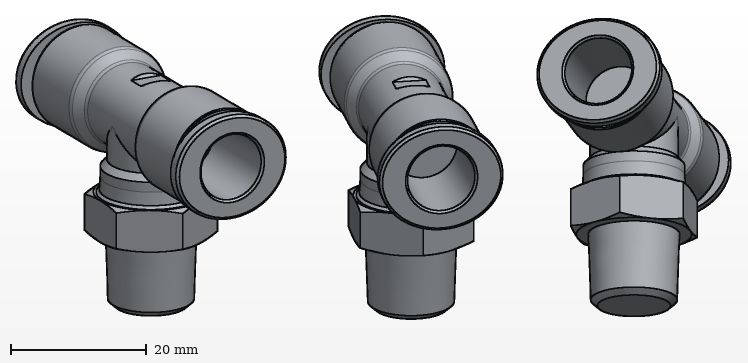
import cadquery as cq
import math


half_length = 25.0
barrel_radius = 8.15
barrel_end = 21.8
barrel_end_chamfer = 0.2
waist_radius = 6.5
shoulder_outer = 10.0
shoulder_inner = 8.0
shoulder_fillet = 1.0

collar_width = 18.5
collar_height = 16.1
collar_thickness = 2.0
collar_chamfer = 0.4
neck_radius = 5.85

bore_radius = 5.05
bore_mouth_chamfer = 0.35
bore_depth = 15.0

notch_depth = 0.5
notch_floor_length = 2.95

overall_height = 36.95
stem_bottom = barrel_radius - overall_height
socket_cone_top = -6.2
socket_top = -7.25
socket_radius = 7.5
skirt_top = -8.75
skirt_bottom = -10.85
skirt_radius = 7.65
foot_radius = 8.1
hex_top = -11.3
hex_bottom = -17.8
hex_flats = 17.0
hex_corner_drop = 0.45
thread_top_radius = 6.75
thread_bottom_radius = 6.4
tip_radius = 5.4
tip_height = 0.9


def make_run():
    """Waist with a larger barrel on each side, revolved about X."""
    right_profile = [
        (shoulder_inner, waist_radius),
        (shoulder_outer, barrel_radius),
        (barrel_end - barrel_end_chamfer, barrel_radius),
        (barrel_end, barrel_radius - barrel_end_chamfer),
        (barrel_end, 0),
    ]
    barrel_middle = (shoulder_outer + barrel_end) / 2
    left_profile = [(-x, r) for x, r in reversed(right_profile)]
    run = (
        cq.Workplane("XY")
        .polyline(left_profile + right_profile)
        .close()
        .revolve(360, (0, 0, 0), (1, 0, 0))
    )
    shoulder_rims = run.edges("%CIRCLE").filter(lambda rim: abs(rim.Center().x) < barrel_middle)
    return shoulder_rims.fillet(shoulder_fillet)


def make_collar():
    """Neck and oval collar at the +X end."""
    neck = cq.Workplane("YZ").circle(neck_radius).extrude(half_length - collar_thickness)
    collar = (
        cq.Workplane("YZ", origin=(half_length - collar_thickness, 0, 0))
        .ellipse(collar_width / 2, collar_height / 2)
        .extrude(collar_thickness)
        .faces(">X")
        .chamfer(collar_chamfer)
    )
    return neck.union(collar)


def make_bore():
    """Blind tube bore with a chamfered mouth at the +X end."""
    mouth_radius = bore_radius + bore_mouth_chamfer
    floor_x = half_length - bore_depth
    return (
        cq.Workplane("XY")
        .polyline([
            (floor_x, 0),
            (floor_x, bore_radius),
            (half_length - bore_mouth_chamfer, bore_radius),
            (half_length, mouth_radius),
            (half_length, 0),
        ])
        .close()
        .revolve(360, (0, 0, 0), (1, 0, 0))
    )


def make_stem():
    """Socket, skirt and tapered end of the stem, revolved about Z."""
    thread_bottom = stem_bottom + tip_height
    return (
        cq.Workplane("XZ")
        .polyline([
            (0, socket_cone_top),
            (waist_radius, socket_cone_top),
            (socket_radius, socket_top),
            (socket_radius, skirt_top),
            (skirt_radius, skirt_bottom),
            (foot_radius, hex_top),
            (thread_top_radius, hex_top),
            (thread_top_radius, hex_bottom),
            (thread_bottom_radius, thread_bottom),
            (tip_radius, stem_bottom),
            (0, stem_bottom),
        ])
        .close()
        .revolve(360, (0, 0, 0), (0, 1, 0))
    )


def make_branch():
    """Vertical cylinder as wide as the waist, so that the two meet in a mitre."""
    return cq.Workplane("XY").circle(waist_radius).extrude(socket_cone_top)


def make_hex():
    """Hexagon with corners on X, its corners turned off at both ends."""
    corner_radius = hex_flats / 2 / math.cos(math.pi / 6)
    flat_radius = hex_flats / 2
    prism = (
        cq.Workplane("XY", origin=(0, 0, hex_bottom))
        .polygon(6, 2 * corner_radius)
        .extrude(hex_top - hex_bottom)
    )
    turned = (
        cq.Workplane("XZ")
        .polyline([
            (0, hex_bottom),
            (flat_radius, hex_bottom),
            (corner_radius, hex_bottom + hex_corner_drop),
            (corner_radius, hex_top - hex_corner_drop),
            (flat_radius, hex_top),
            (0, hex_top),
        ])
        .close()
        .revolve(360, (0, 0, 0), (0, 1, 0))
    )
    return prism.intersect(turned)


def make_notch():
    """Trapezoidal cutter with 45 degree ends, running across the whole waist."""
    floor_z = waist_radius - notch_depth
    half_floor = notch_floor_length / 2
    half_top = half_floor + notch_depth
    return (
        cq.Workplane("XZ")
        .polyline([
            (-half_floor, floor_z),
            (half_floor, floor_z),
            (half_top, waist_radius),
            (-half_top, waist_radius),
        ])
        .close()
        .extrude(waist_radius, both=True)
    )


collar = make_collar()
bore = make_bore()
result = make_run().union(make_branch()).union(make_stem()).union(make_hex())
result = result.union(collar).union(collar.mirror("YZ"))
result = result.cut(bore).cut(bore.mirror("YZ")).cut(make_notch())